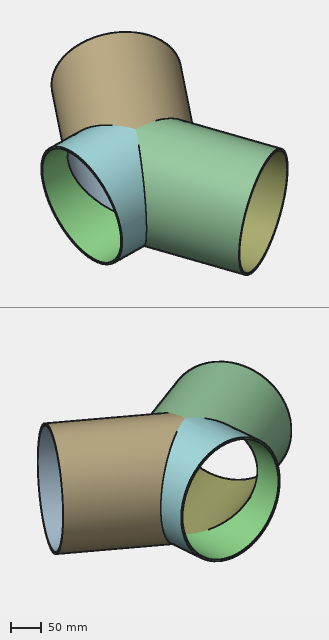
import cadquery as cq
import math

overall_width = 505.5
outer_diameter = 219.0
inner_diameter = 212.0
branch_rise = 30.0

rise = math.radians(branch_rise)
corner_overhang = outer_diameter / 2 * math.sin(rise)
branch_length = (overall_width / 2 - corner_overhang) / math.cos(rise)
stem_length = branch_length / 2

legs = [
    (branch_rise, branch_length),
    (180 - branch_rise, branch_length),
    (270, stem_length),
]


def leg_cylinder(diameter, angle, length):
    """Solid round leg running outwards from the junction of the axes."""
    direction = cq.Vector(math.cos(math.radians(angle)), math.sin(math.radians(angle)), 0)
    return cq.Workplane(cq.Solid.makeCylinder(diameter / 2, length, cq.Vector(0, 0, 0), direction))


def joined_legs(diameter):
    """Three legs of one diameter, fused along their mitre lines."""
    body = leg_cylinder(diameter, *legs[0])
    for angle, length in legs[1:]:
        body = body.union(leg_cylinder(diameter, angle, length))
    return body


result = joined_legs(outer_diameter).cut(joined_legs(inner_diameter))